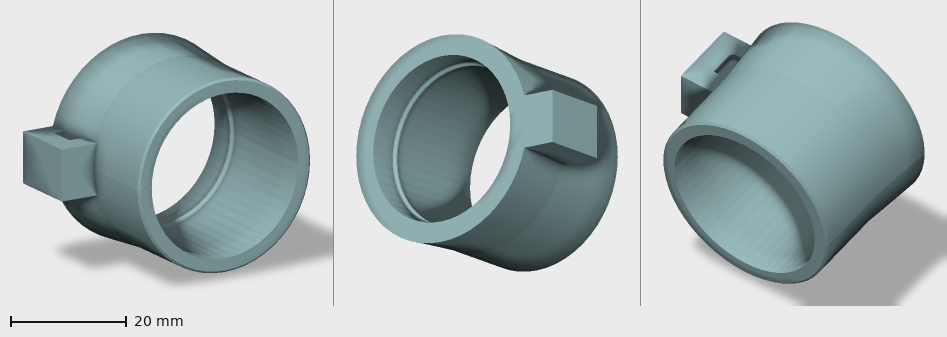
import cadquery as cq

length = 27.8
sleeve_radius = 17.5
flare_radius = 18.555
flare_length = 12.2
bore_radius = 14.87
end_chamfer = 0.4

bead_start = 5.5
bead_height = 0.55
bead_flank = 0.45
bead_crest = 0.3

lug_length = 12.9
lug_reach = 24.015
lug_half_height = 4.7

pocket_start = 3.4
pocket_end = 8.8
pocket_reach = 19.95
pocket_depth = 1.6
pocket_corner_radius = 0.9
pocket_floor_fillet = 0.4


def revolve_about_axis(profile):
    return profile.close().revolve(360, (0, 0, 0), (1, 0, 0))


def sleeve_envelope():
    """Solid outer shape: conical flare, cylinder and chamfered far end."""
    profile = (
        cq.Workplane("XY")
        .lineTo(0, flare_radius)
        .lineTo(flare_length, sleeve_radius)
        .lineTo(length - end_chamfer, sleeve_radius)
        .lineTo(length, sleeve_radius - end_chamfer)
        .lineTo(length, 0)
    )
    return revolve_about_axis(profile)


def bore():
    """Through bore, necked where the bead stands out from its wall."""
    crest_radius = bore_radius - bead_height
    crest_start = bead_start + bead_flank
    crest_end = crest_start + bead_crest
    profile = (
        cq.Workplane("XY")
        .lineTo(0, bore_radius)
        .lineTo(bead_start, bore_radius)
        .lineTo(crest_start, crest_radius)
        .lineTo(crest_end, crest_radius)
        .lineTo(crest_end + bead_flank, bore_radius)
        .lineTo(length, bore_radius)
        .lineTo(length, 0)
    )
    return revolve_about_axis(profile)


def box_between(low, high):
    size = [end - start for start, end in zip(low, high)]
    return cq.Workplane("XY").box(*size, centered=False).translate(low)


def lug():
    """Block through both halves, running from the axis out to the lug face."""
    return box_between(
        (0, -lug_reach, -lug_half_height),
        (lug_length, 0, lug_half_height),
    )


def lug_pocket():
    """Pocket outside the sleeve wall, with one rounded corner and a filleted floor edge."""
    pocket = box_between(
        (pocket_start, -pocket_reach, lug_half_height - pocket_depth),
        (pocket_end, 0, lug_half_height),
    )
    pocket = pocket.edges("|Z and <X and <Y").fillet(pocket_corner_radius)
    pocket = pocket.faces("<Y").edges("<Z").fillet(pocket_floor_fillet)
    return pocket.cut(sleeve_envelope())


def half_space(side):
    """Oversized block on one side of the split plane; side is +1 (upper) or -1 (lower)."""
    size = 2 * (length + lug_reach)
    centre_height = side * size / 2
    return cq.Workplane("XY").box(size, size, size).translate((0, 0, centre_height))


clamp = sleeve_envelope().union(lug()).cut(bore())

upper_half = clamp.intersect(half_space(1)).cut(lug_pocket())

lower_half = clamp.intersect(half_space(-1))

result = cq.Compound.makeCompound([upper_half.val(), lower_half.val()])